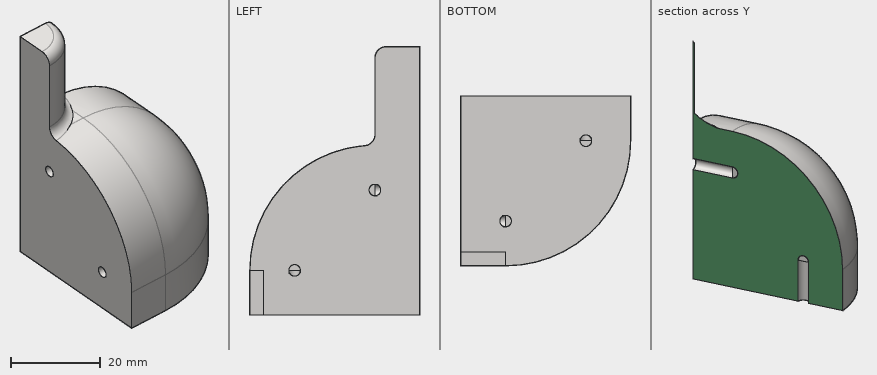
import cadquery as cq
import math

height = 60.0
side = 38.0
margin = 10.0
stem_fillet = 2.5
hole_diameter = 2.6
notch_width = 3.05

corner_radius = side - margin
hole_far = corner_radius


def make_body():
    """Cube with one corner rounded into an eighth of a sphere."""
    cube = cq.Workplane("XY").box(side, side, side, centered=False)
    return cube.edges("(>X and >Y) or (>X and >Z) or (>Y and >Z)").fillet(corner_radius)


def make_stem():
    """Quarter-round stem with a rounded top rim and a flared foot blending into the body."""
    reach = corner_radius + stem_fillet
    foot_center_z = margin + math.sqrt(reach**2 - stem_fillet**2)
    foot_end_x = margin + stem_fillet * corner_radius / reach
    foot_end_z = margin + (foot_center_z - margin) * corner_radius / reach
    return (
        cq.Workplane("XZ")
        .lineTo(margin, 0)
        .lineTo(foot_end_x, foot_end_z)
        .radiusArc((margin, foot_center_z), stem_fillet)
        .lineTo(margin, height - stem_fillet)
        .radiusArc((margin - stem_fillet, height), -stem_fillet)
        .lineTo(0, height)
        .close()
        .revolve(90, (0, 0), (0, 1))
    )


def make_notch():
    """Block removed from the low end of the body next to the -X face."""
    return (
        cq.Workplane("XY")
        .box(margin, notch_width, margin, centered=False)
        .translate((0, side - notch_width, 0))
    )


def make_holes(plane, direction):
    """Two blind holes, mirrored about the diagonal of one flat face."""
    return (
        cq.Workplane(plane)
        .pushPoints([(margin, hole_far), (hole_far, margin)])
        .circle(hole_diameter / 2)
        .extrude(direction * margin)
    )


result = make_body().union(make_stem())
result = result.cut(make_notch())

for plane, direction in (("XY", 1), ("YZ", 1), ("XZ", -1)):
    result = result.cut(make_holes(plane, direction))